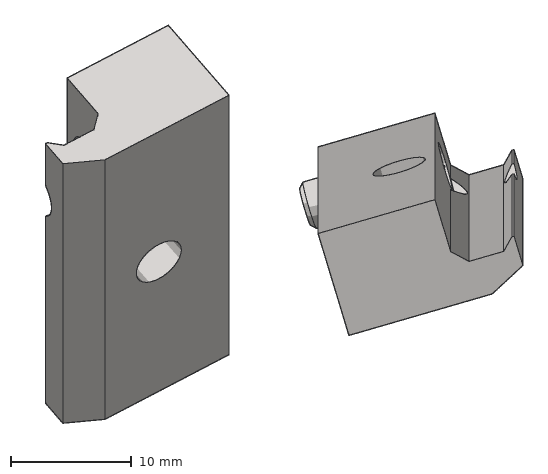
import cadquery as cq

width = 9.0
height = 34.0
back_y = 15.5
step_y = 5.4

step_corner_x = 4.6
lip_inner_x = 5.8
lip_tip_x = 4.83
lip_tip_land = 0.2
lip_outer_x = 7.4
outer_chamfer_y = 3.13

pin_x = 3.0
pin_z = 26.5
pin_diameter = 4.0
pin_projection = 2.0
pin_chamfer = 0.4
clearance_diameter = 5.45

cross_hole_diameter = 4.5
cross_hole_y = 8.5
cross_hole_z = height / 2


def cylinder_along_y(diameter, start_y, end_y):
    """Cylinder on the pin axis between two Y positions."""
    return cq.Workplane(
        cq.Solid.makeCylinder(
            diameter / 2,
            end_y - start_y,
            cq.Vector(pin_x, start_y, pin_z),
            cq.Vector(0, 1, 0),
        )
    )


def make_block():
    """Constant section with a 45 degree inner corner and a 45 degree hook."""
    inner_corner_y = step_y - (lip_inner_x - step_corner_x)
    hook_y = lip_tip_land + (lip_inner_x - lip_tip_x)
    outline = [
        (0, step_y),
        (step_corner_x, step_y),
        (lip_inner_x, inner_corner_y),
        (lip_inner_x, hook_y),
        (lip_tip_x, lip_tip_land),
        (lip_tip_x, 0),
        (lip_outer_x, 0),
        (width, outer_chamfer_y),
        (width, back_y),
        (0, back_y),
    ]
    return cq.Workplane("XY").polyline(outline).close().extrude(height)


def make_cross_hole():
    return (
        cq.Workplane("YZ")
        .center(cross_hole_y, cross_hole_z)
        .circle(cross_hole_diameter / 2)
        .extrude(width)
    )


def make_pin():
    """Pin with a 45 degree point level with the step face and a chamfered rear end."""
    radius = pin_diameter / 2
    end_y = back_y + pin_projection
    half_section = [
        (0, step_y),
        (radius, step_y + radius),
        (radius, end_y - pin_chamfer),
        (radius - pin_chamfer, end_y),
        (0, end_y),
    ]
    return (
        cq.Workplane("XY")
        .polyline(half_section)
        .close()
        .revolve(360, (0, 0, 0), (0, 1, 0))
        .translate((pin_x, 0, pin_z))
    )


clearance = cylinder_along_y(clearance_diameter, 0, step_y)
pin_bore = cylinder_along_y(pin_diameter, step_y, back_y)

result = (
    make_block()
    .cut(clearance)
    .cut(pin_bore)
    .union(make_pin())
    .cut(make_cross_hole())
)